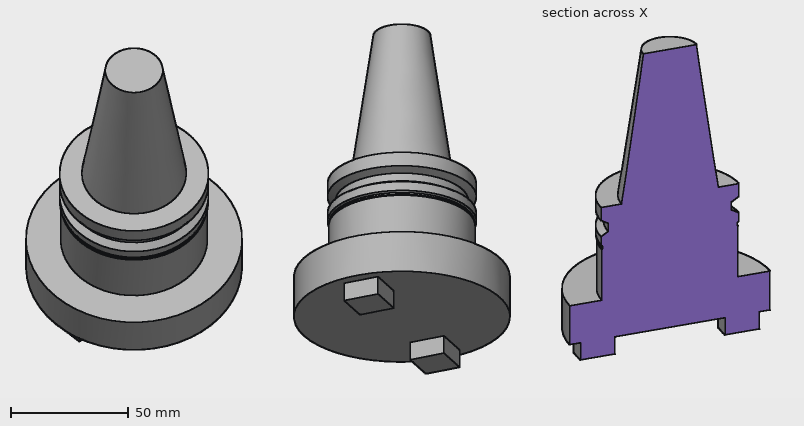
import cadquery as cq
import math

total_height = 139.8
disc_bottom = 8.1
disc_top = 26.7
flange_bottom = 52.7
groove_middle = 60.5
flange_top = 70.6
taper_base = 71.5

disc_radius = 46.07
body_radius = 31.3
flange_radius = 31.7
taper_base_radius = 22.2
taper_ratio = 7 / 24
taper_tip_radius = taper_base_radius - (total_height - taper_base) * taper_ratio / 2

groove_floor_radius = 28.4
groove_floor_width = 3.6
groove_wall_angle = 30.0
groove_wall_rise = (flange_radius - groove_floor_radius) * math.tan(math.radians(groove_wall_angle))
floor_bottom = groove_middle - groove_floor_width / 2
floor_top = groove_middle + groove_floor_width / 2

relief_radius = 31.0
relief_top = 52.0
relief_bottom = 51.2
body_top = 50.6

key_size = 16.0
key_outer_reach = 41.1


def turned_body():
    """Disc, body, grooved flange and taper as one revolved profile."""
    profile = [
        (0, disc_bottom),
        (disc_radius, disc_bottom),
        (disc_radius, disc_top),
        (body_radius, disc_top),
        (body_radius, body_top),
        (relief_radius, relief_bottom),
        (relief_radius, relief_top),
        (flange_radius, flange_bottom),
        (flange_radius, floor_bottom - groove_wall_rise),
        (groove_floor_radius, floor_bottom),
        (groove_floor_radius, floor_top),
        (flange_radius, floor_top + groove_wall_rise),
        (flange_radius, flange_top),
        (taper_base_radius, flange_top),
        (taper_base_radius, taper_base),
        (taper_tip_radius, total_height),
        (0, total_height),
    ]
    return cq.Workplane("XZ").polyline(profile).close().revolve(360, (0, 0), (0, 1))


def drive_keys():
    """Two opposite keys on the Y axis, standing from the key bottoms to the disc."""
    key_offset = key_outer_reach - key_size / 2
    return (
        cq.Workplane("XY")
        .pushPoints([(0, -key_offset), (0, key_offset)])
        .rect(key_size, key_size)
        .extrude(disc_bottom)
    )


result = turned_body().union(drive_keys())